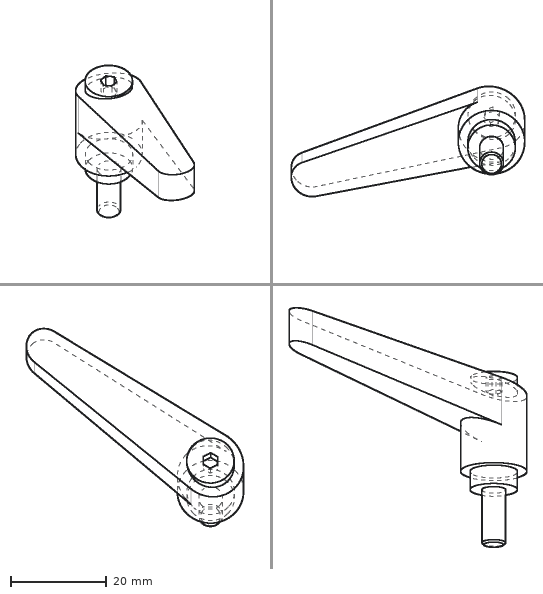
import cadquery as cq
import math


stud_diameter = 5.0
stud_length = 12.0
stud_chamfer = 0.43
collar_diameter = 10.0
collar_height = 4.0

hub_radius = 7.0
head_diameter = 10.0
head_top = 24.5

tip_radius = 4.0
lever_reach = 45.0
arm_tip_top = 35.69
arm_top_angle = 16.3
arm_tip_bottom = 28.5
arm_bottom_angle = 19.95

socket_sides = 6
socket_across_flats = 3.0
socket_depth = 3.0
socket_cone_angle = 120.0

tip_center = lever_reach - tip_radius


def arm_top_height(x):
    """Height of the sloping top face at a distance x from the stud axis."""
    return arm_tip_top - (lever_reach - x) * math.tan(math.radians(arm_top_angle))


def arm_bottom_height(x):
    """Height of the sloping underside at a distance x from the stud axis."""
    return arm_tip_bottom - (lever_reach - x) * math.tan(math.radians(arm_bottom_angle))


def vertical_cylinder(diameter, bottom, top):
    return cq.Workplane("XY").workplane(offset=bottom).circle(diameter / 2).extrude(top - bottom)


def side_profile(points):
    """Extrude an XZ outline over the full width of the hub."""
    return cq.Workplane("XZ").polyline(points).close().extrude(hub_radius, both=True)


def make_hub():
    """Round hub, cut off by the sloping top plane of the lever."""
    hub = vertical_cylinder(2 * hub_radius, collar_height, arm_top_height(hub_radius))
    below_top = side_profile([
        (-hub_radius, collar_height),
        (hub_radius, collar_height),
        (hub_radius, arm_top_height(hub_radius)),
        (-hub_radius, arm_top_height(-hub_radius)),
    ])
    return hub.intersect(below_top)


def make_arm():
    """Tapered arm: hub and tip circles joined by tangents, between two sloping planes."""
    tangent_x = (hub_radius - tip_radius) / tip_center
    tangent_y = math.sqrt(1 - tangent_x**2)
    hub_touch = (hub_radius * tangent_x, hub_radius * tangent_y)
    tip_touch = (tip_center + tip_radius * tangent_x, tip_radius * tangent_y)
    plan = (
        cq.Workplane("XY")
        .moveTo(hub_touch[0], -hub_touch[1])
        .lineTo(tip_touch[0], -tip_touch[1])
        .threePointArc((lever_reach, 0), tip_touch)
        .lineTo(*hub_touch)
        .close()
        .extrude(arm_tip_top)
    )
    arm_start = hub_touch[0]
    between_slopes = side_profile([
        (arm_start, arm_bottom_height(arm_start)),
        (lever_reach, arm_tip_bottom),
        (lever_reach, arm_tip_top),
        (arm_start, arm_top_height(arm_start)),
    ])
    return plan.intersect(between_slopes)


def make_stud():
    stud = vertical_cylinder(stud_diameter, -stud_length, collar_height)
    return stud.faces("<Z").chamfer(stud_chamfer)


def make_socket():
    """Hexagonal recess whose bottom is a drill cone reaching out to the hexagon's corners."""
    corner_radius = socket_across_flats / 2 / math.cos(math.pi / socket_sides)
    cone_depth = corner_radius / math.tan(math.radians(socket_cone_angle / 2))
    corner_floor = head_top - socket_depth
    cone_tip = corner_floor - cone_depth
    hexagon = (
        cq.Workplane("XY")
        .workplane(offset=cone_tip)
        .polygon(socket_sides, 2 * corner_radius)
        .extrude(head_top - cone_tip)
    )
    drilled_hole = (
        cq.Workplane("XZ")
        .polyline([(0, cone_tip), (corner_radius, corner_floor), (corner_radius, head_top), (0, head_top)])
        .close()
        .revolve(360, (0, 0), (0, 1))
    )
    return hexagon.intersect(drilled_hole)


collar = vertical_cylinder(collar_diameter, 0, collar_height)
head = vertical_cylinder(head_diameter, collar_height, head_top)

result = make_hub().union(make_arm()).union(head).union(collar).union(make_stud()).cut(make_socket())